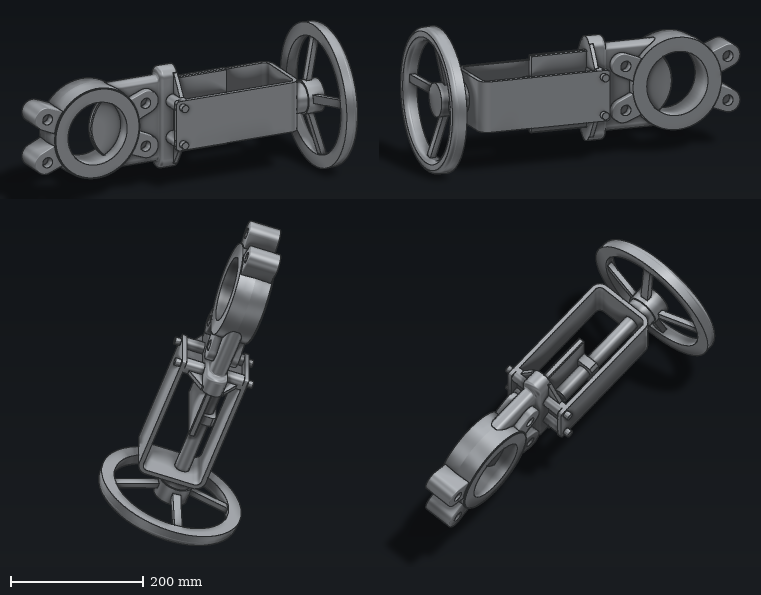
import cadquery as cq
import math


bore_radius = 50.0
ring_radius = 73.5
ring_face_radius = 72.0
ring_half_width = 25.5
raised_face_height = 1.5
raised_face_radius = 70.8

lug_half_width = 24.0
lug_tip_radius = 18.0
lug_root_half_width = 20.5
neck_lug_reach = 94.0
tail_lug_reach = 92.5
lug_hole_radius = 16.5 / 2
lug_hole_depth = 15.0
bolt_circle_radius = 90.0
lug_angle = 22.5
lug_edge_fillet = 1.5

neck_half_thickness = 12.5
neck_half_height = 68.5
neck_edge_fillet = 10.5
neck_root_fillet = 3.5

flange_half_width = 17.5
flange_half_height = 81.5
flange_bottom = 112.0
flange_top = 140.0
flange_bottom_fillet = 6.0

web_thickness = 6.5
web_shoulder_x = 38.5
web_peak_z = 72.5

boss_radius = 10.5
boss_y = 131.0
bolt_radius = 11.5 / 2
bolt_z = 29.5
bolt_half_length = 62.5

yoke_half_width = 53.5
yoke_half_height = 39.5
yoke_thickness = 7.0
yoke_top = 330.5
yoke_bottom = 120.5
yoke_bend_radius = 16.0
yoke_foot_fillet = 4.5

gate_half_thickness = 5.0
gate_radius = 60.5
gate_top = 229.5
gate_edge_chamfer = 1.5

stem_x = 18.5
stem_radius = 23.5 / 2
stem_bottom = 156.0
stem_chamfer = 3.0

nut_outer_x = 34.0
nut_height = 15.5
nut_half_length = 20.0
nut_corner_chamfer = 5.0

collar_radius = 47.0 / 2
hub_radius = 26.0
hub_bottom = 349.5
hub_top = 377.0

wheel_radius = 225.0 / 2
wheel_inner_radius = 92.0
wheel_bottom = 370.0
wheel_top = 391.5
wheel_shoulder_radius = 112.0
wheel_shoulder_drop = 8.5
wheel_round_width = 5.5

spoke_count = 4
spoke_turn = 8.0
spoke_width = 13.0
spoke_depth = 9.0
spoke_rise = 0.26
spoke_start_y = 356.5


def cylinder_x(radius, x_start, x_end, y, z):
    """Round bar along X."""
    return cq.Workplane("YZ", origin=(x_start, y, z)).circle(radius).extrude(x_end - x_start)


def cylinder_y(radius, y_start, y_end, x):
    """Round bar along Y, centred on z = 0."""
    return cq.Workplane("XZ", origin=(x, y_start, 0)).circle(radius).extrude(y_start - y_end)


def lug(angle, reach):
    """Tapered round-ended lug, pointing away from the bore at the given angle."""
    tilt = math.asin((lug_root_half_width - lug_tip_radius) / reach)
    tangent_y = reach + lug_tip_radius * math.sin(tilt)
    tangent_z = lug_tip_radius * math.cos(tilt)
    shape = (
        cq.Workplane("YZ", origin=(-lug_half_width, 0, 0))
        .moveTo(0, -lug_root_half_width)
        .lineTo(tangent_y, -tangent_z)
        .threePointArc((reach + lug_tip_radius, 0), (tangent_y, tangent_z))
        .lineTo(0, lug_root_half_width)
        .close()
        .extrude(2 * lug_half_width)
        .faces("<X or >X")
        .edges()
        .fillet(lug_edge_fillet)
    )
    return shape.rotate((0, 0, 0), (1, 0, 0), angle)


def lug_hole(angle, side):
    """Blind bolt hole in the lug face on the given side."""
    y = bolt_circle_radius * math.cos(math.radians(angle))
    z = bolt_circle_radius * math.sin(math.radians(angle))
    return cylinder_x(lug_hole_radius, side * (lug_half_width - lug_hole_depth), side * lug_half_width, y, z)


def make_ring():
    """Ring around the bore, drafted to both faces from the parting line."""
    ring = (
        cq.Workplane("XY")
        .polyline([
            (-ring_half_width, 0),
            (-ring_half_width, ring_face_radius),
            (0, ring_radius),
            (ring_half_width, ring_face_radius),
            (ring_half_width, 0),
        ])
        .close()
        .revolve(360, (0, 0), (1, 0))
    )
    raised_end = ring_half_width + raised_face_height
    return ring.union(cylinder_x(raised_face_radius, 0, raised_end, 0, 0))


def make_neck_and_flange():
    """Flat neck that guides the gate, with the obround flange at its end."""
    neck = (
        cq.Workplane("XY")
        .box(2 * neck_half_thickness, flange_top, 2 * neck_half_height)
        .translate((0, flange_top / 2, 0))
        .edges("|Y")
        .fillet(neck_edge_fillet)
    )
    flange = (
        cq.Workplane("XZ", origin=(0, flange_top, 0))
        .slot2D(2 * flange_half_height, 2 * flange_half_width, 90)
        .extrude(flange_top - flange_bottom)
        .faces("<Y")
        .edges()
        .fillet(flange_bottom_fillet)
    )
    margin = 0.5
    root_edges = cq.selectors.BoxSelector(
        (-neck_half_thickness - margin, flange_bottom - margin, -neck_half_height - margin),
        (neck_half_thickness + margin, flange_bottom + margin, neck_half_height + margin),
        boundingbox=True,
    )
    return neck.union(flange).edges(root_edges).fillet(neck_root_fillet)


def make_mounting_plate():
    """Plate from arm to arm of the yoke, with webs that slope up to the flange ends."""
    inner_x = yoke_half_width - yoke_thickness
    quarter = [
        (flange_half_width, web_peak_z),
        (web_shoulder_x, yoke_half_height),
        (inner_x, yoke_half_height),
    ]
    right_half = quarter + [(x, -z) for x, z in reversed(quarter)]
    left_half = [(-x, -z) for x, z in right_half]
    return (
        cq.Workplane("XZ", origin=(0, flange_top, 0))
        .polyline(right_half + left_half)
        .close()
        .extrude(web_thickness)
    )


def make_boss(side):
    """U-shaped boss under the mounting plate, around one pair of bolts."""
    inner_x = yoke_half_width - yoke_thickness
    centre_z = side * (yoke_half_height - boss_radius)
    block = (
        cq.Workplane("XY")
        .box(2 * inner_x, flange_top - boss_y, 2 * boss_radius)
        .translate((0, (flange_top + boss_y) / 2, centre_z))
    )
    return block.union(cylinder_x(boss_radius, -inner_x, inner_x, boss_y, centre_z))


def make_yoke():
    """Bent strap that carries the stem."""
    inner_half_width = yoke_half_width - yoke_thickness
    inner_top = yoke_top - yoke_thickness

    def arch(half_width, top, bend):
        return (
            cq.Workplane("XY", origin=(0, 0, -yoke_half_height))
            .moveTo(-half_width, yoke_bottom)
            .lineTo(half_width, yoke_bottom)
            .lineTo(half_width, top)
            .lineTo(-half_width, top)
            .close()
            .extrude(2 * yoke_half_height)
            .edges("|Z and >Y")
            .fillet(bend)
        )

    outer = arch(yoke_half_width, yoke_top, yoke_bend_radius)
    inner = arch(inner_half_width, inner_top, yoke_bend_radius - yoke_thickness)
    strap = outer.cut(inner).edges("|X and <Y").fillet(yoke_foot_fillet)
    return strap.cut(cylinder_y(stem_radius, inner_top, yoke_top, stem_x))


def make_gate():
    """Gate plate with a round leading end that reaches the bore centre."""
    return (
        cq.Workplane("YZ", origin=(-gate_half_thickness, 0, 0))
        .moveTo(gate_top, -gate_radius)
        .lineTo(gate_radius, -gate_radius)
        .threePointArc((0, 0), (gate_radius, gate_radius))
        .lineTo(gate_top, gate_radius)
        .close()
        .extrude(2 * gate_half_thickness)
        .edges("|Y")
        .chamfer(gate_edge_chamfer)
    )


def make_nut():
    """Stem nut fixed to the side of the gate."""
    width = nut_outer_x - gate_half_thickness
    return (
        cq.Workplane("XY")
        .box(width, nut_height, 2 * nut_half_length)
        .edges("|Y and >X")
        .chamfer(nut_corner_chamfer)
        .translate((gate_half_thickness + width / 2, gate_top - nut_height / 2, 0))
    )


def make_rim():
    """Handwheel rim with rounded top edges."""
    shoulder_y = wheel_top - wheel_shoulder_drop
    corner = 1 - math.sqrt(0.5)
    inset = corner * wheel_round_width
    middle_y = wheel_top - corner * wheel_shoulder_drop
    return (
        cq.Workplane("XY", origin=(stem_x, 0, 0))
        .moveTo(wheel_inner_radius, wheel_bottom)
        .lineTo(wheel_radius, wheel_bottom)
        .lineTo(wheel_shoulder_radius, shoulder_y)
        .threePointArc(
            (wheel_shoulder_radius - inset, middle_y),
            (wheel_shoulder_radius - wheel_round_width, wheel_top),
        )
        .lineTo(wheel_inner_radius + wheel_round_width, wheel_top)
        .threePointArc((wheel_inner_radius + inset, middle_y), (wheel_inner_radius, shoulder_y))
        .close()
        .revolve(360, (0, 0), (0, 1))
    )


def make_spoke(index):
    """Spoke that climbs from the hub to the rim."""
    inner_radius = stem_radius
    outer_radius = (wheel_inner_radius + wheel_radius) / 2
    inner_y = spoke_start_y + spoke_rise * (inner_radius - hub_radius)
    outer_y = spoke_start_y + spoke_rise * (outer_radius - hub_radius)
    spoke = (
        cq.Workplane("XY", origin=(stem_x, 0, -spoke_width / 2))
        .polyline([
            (inner_radius, inner_y),
            (outer_radius, outer_y),
            (outer_radius, outer_y + spoke_depth),
            (inner_radius, inner_y + spoke_depth),
        ])
        .close()
        .extrude(spoke_width)
    )
    turn = spoke_turn + index * 360 / spoke_count
    return spoke.rotate((stem_x, 0, 0), (stem_x, 1, 0), -turn)


def make_drive():
    """Gate, nut, stem and handwheel, which move as one body."""
    stem = cylinder_y(stem_radius, stem_bottom, wheel_bottom, stem_x).faces("<Y").chamfer(stem_chamfer)
    collar = cylinder_y(collar_radius, yoke_top, hub_bottom, stem_x)
    hub = cylinder_y(hub_radius, hub_bottom, hub_top, stem_x)
    drive = make_gate().union(make_nut()).union(stem).union(collar).union(hub).union(make_rim())
    for index in range(spoke_count):
        drive = drive.union(make_spoke(index))
    return drive


def make_housing():
    """Valve body with its lugs, mounting plate, yoke and yoke bolts."""
    housing = make_neck_and_flange().union(make_ring())
    neck_angles = [-lug_angle, lug_angle]
    tail_angles = [180 - lug_angle, 180 + lug_angle]
    for angle in neck_angles:
        housing = housing.union(lug(angle, neck_lug_reach))
    for angle in tail_angles:
        housing = housing.union(lug(angle, tail_lug_reach))
    housing = housing.union(make_mounting_plate()).union(make_yoke())
    for side in (-1, 1):
        bolt = cylinder_x(bolt_radius, -bolt_half_length, bolt_half_length, boss_y, side * bolt_z)
        housing = housing.union(make_boss(side)).union(bolt)
    for angle in neck_angles + tail_angles:
        for side in (-1, 1):
            housing = housing.cut(lug_hole(angle, side))
    bore_end = ring_half_width + raised_face_height
    housing = housing.cut(cylinder_x(bore_radius, -ring_half_width, bore_end, 0, 0))
    return housing.cut(make_gate())


housing = make_housing()
drive = make_drive()
result = cq.Compound.makeCompound([housing.val(), drive.val()])